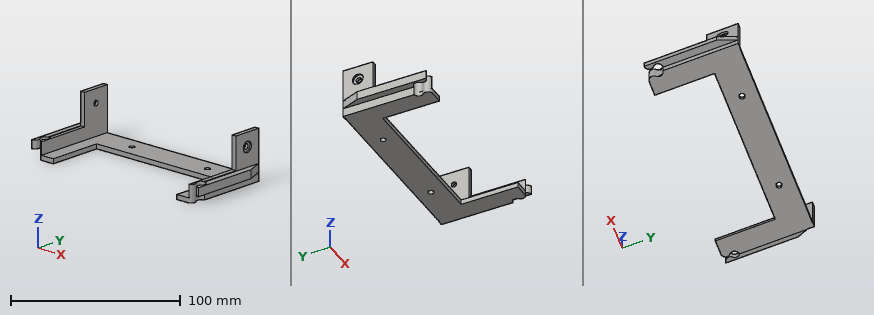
import cadquery as cq
import math

length = 133.1
depth = 57.8
height = 33.0

plate_thickness = 3.2
plate_rear_setback = 0.3
web_front_setback = 20.0
leg_gap = 98.5
base_hole_spacing = 60.2
screw_diameter = 3.5

wall_thickness = 3.2
wall_height = 11.6
tab_depth = 20.0
tab_hole_height = 23.8
counterbore_diameter = 7.0
counterbore_depth = 1.2

rail_width = 4.5
rail_bottom = 5.6
rail_top = 11.2
taper_depth = 12.0

clip_diameter = 6.0
clip_inset = 4.3

side = length / 2
front = -depth / 2
rear = depth / 2
wall_outer = side - rail_width
wall_inner = wall_outer - wall_thickness
hole_y = rear - tab_depth / 2


def box(x_min, x_max, y_min, y_max, z_min, z_max):
    size = (x_max - x_min, y_max - y_min, z_max - z_min)
    return cq.Workplane("XY").box(*size, centered=False).translate((x_min, y_min, z_min))


def make_base():
    base = box(-wall_outer, wall_outer, front, rear - plate_rear_setback, 0, plate_thickness)
    opening = box(-leg_gap / 2, leg_gap / 2, front, rear - web_front_setback, 0, plate_thickness)
    hole_points = [(-base_hole_spacing / 2, hole_y), (base_hole_spacing / 2, hole_y)]
    holes = cq.Workplane("XY").pushPoints(hole_points).circle(screw_diameter / 2).extrude(plate_thickness)
    return base.cut(opening).cut(holes)


def make_wall():
    """Right-hand wall and tab, with a screw hole counterbored from outside."""
    wall = box(wall_inner, wall_outer, front, rear, 0, wall_height)
    tab = box(wall_inner, wall_outer, rear - tab_depth, rear, 0, height)
    outer_face = cq.Workplane("YZ", origin=(wall_outer, hole_y, tab_hole_height))
    hole = outer_face.circle(screw_diameter / 2).extrude(-wall_thickness)
    counterbore = outer_face.circle(counterbore_diameter / 2).extrude(-counterbore_depth)
    return wall.union(tab).cut(hole).cut(counterbore)


def make_rail():
    outline = [
        (wall_outer, front),
        (side, front),
        (side, rear - taper_depth),
        (wall_outer, rear),
    ]
    underside = cq.Workplane("XY", origin=(0, 0, rail_bottom))
    return underside.polyline(outline).close().extrude(rail_top - rail_bottom)


def make_clip_slot():
    """Round seat and flared mouth, its lips tangent to the seat at 45 degrees."""
    radius = clip_diameter / 2
    lip_offset = clip_diameter * math.sin(math.radians(45))
    seat_x = side - clip_inset
    lip_y = front + radius
    seat_y = lip_y + lip_offset
    tangent_y = lip_y + lip_offset / 2
    mouth = box(seat_x - lip_offset, seat_x + lip_offset, front, tangent_y, 0, wall_height)
    lip_points = [(seat_x - lip_offset, lip_y), (seat_x + lip_offset, lip_y)]
    lips = cq.Workplane("XY").pushPoints(lip_points).circle(radius).extrude(wall_height)
    seat = cq.Workplane("XY").center(seat_x, seat_y).circle(radius).extrude(wall_height)
    return mouth.cut(lips).union(seat)


right_side = make_wall().union(make_rail())
slot = make_clip_slot()
result = make_base()
for side_part in (right_side, right_side.mirror("YZ")):
    result = result.union(side_part)
for side_slot in (slot, slot.mirror("YZ")):
    result = result.cut(side_slot)